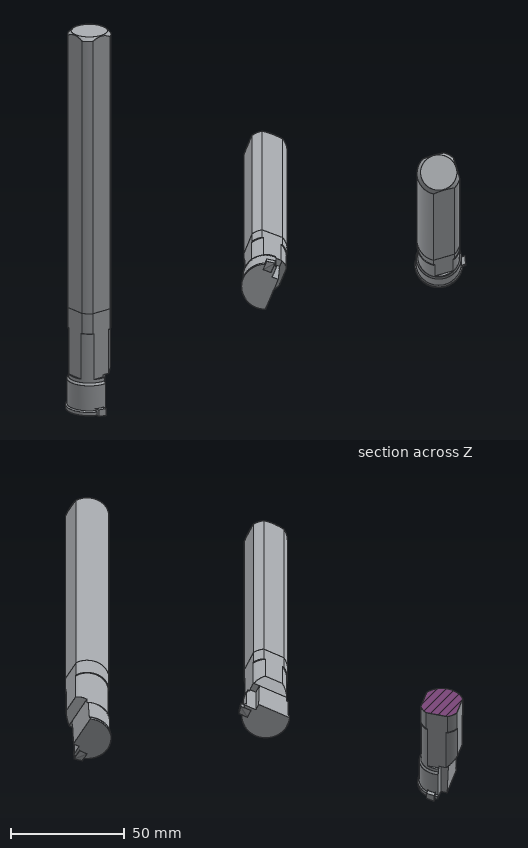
import cadquery as cq


total_height = 177.8
insert_reach = 24.0 / 2

shank_radius = 9.6
flat_distance = 16.5 / 2
shank_bottom = 48.0
top_chamfer = 1.6

collar_bottom = 38.4
neck_radius = 9.2
flats_end = 16.9
cone_top = 15.3
head_top = 14.2
head_radius = 10.0
flange_top = 2.5
flange_cone_height = 0.5
flange_radius = 21.2 / 2
head_bottom = 0.4

relief_start = 21.7
relief_knee = 17.8
relief_knee_y = 4.6
relief_bottom_y = 4.0

chip_pocket_y = 1.0
chip_pocket_x = 5.3
chip_pocket_top = relief_knee

rake_y = -0.2
insert_seat_x = 7.1
insert_height = 3.4
insert_thickness = 3.7
insert_clearance = 0.7

cutter_size = 71.1


def cut_flats(body, low, high):
    """Cut the -Y, +Y and +X clamping flats between two heights."""
    flat_directions = [(0, -1), (0, 1), (1, 0)]
    centre_distance = flat_distance + cutter_size / 2
    for x, y in flat_directions:
        cutter = (
            cq.Workplane("XY", origin=(x * centre_distance, y * centre_distance, low))
            .box(cutter_size, cutter_size, high - low, centered=(True, True, False))
        )
        body = body.cut(cutter)
    return body


def make_shank():
    shank = (
        cq.Workplane("XY", origin=(0, 0, shank_bottom))
        .circle(shank_radius)
        .extrude(total_height - shank_bottom)
        .faces(">Z")
        .chamfer(top_chamfer)
    )
    return cut_flats(shank, shank_bottom, total_height)


def make_insert():
    """Cutting insert with a tapered end face and underside, its rake face towards +Y."""
    rear_y = rake_y - insert_thickness
    blank = (
        cq.Workplane("XY")
        .polyline([
            (insert_seat_x, rear_y),
            (insert_reach - insert_clearance, rear_y),
            (insert_reach, rake_y),
            (insert_seat_x, rake_y),
        ])
        .close()
        .extrude(insert_height)
    )
    inward_relief = (
        cq.Workplane("XZ")
        .polyline([(insert_seat_x, 0), (insert_reach, 0), (insert_seat_x, head_bottom)])
        .close()
        .extrude(cutter_size / 2, both=True)
    )
    rear_relief = (
        cq.Workplane("YZ")
        .polyline([(rear_y, 0), (rake_y, 0), (rear_y, head_bottom)])
        .close()
        .extrude(cutter_size)
    )
    return blank.cut(inward_relief).cut(rear_relief)


def make_relief():
    """Sloped clearance cut across the +Y side of the head."""
    return (
        cq.Workplane("YZ", origin=(-cutter_size / 2, 0, 0))
        .polyline([
            (relief_bottom_y, 0),
            (relief_knee_y, relief_knee),
            (flat_distance, relief_start),
            (cutter_size, relief_start),
            (cutter_size, 0),
        ])
        .close()
        .extrude(cutter_size)
    )


def make_chip_pocket():
    return (
        cq.Workplane("XY", origin=(chip_pocket_x, chip_pocket_y, 0))
        .box(cutter_size, cutter_size, chip_pocket_top, centered=False)
    )


def make_head(seated_insert):
    head = (
        cq.Workplane("XZ")
        .polyline([
            (0, head_bottom),
            (flange_radius, head_bottom),
            (flange_radius, flange_top - flange_cone_height),
            (head_radius, flange_top),
            (head_radius, head_top),
            (neck_radius, cone_top),
            (neck_radius, collar_bottom),
            (shank_radius, collar_bottom),
            (shank_radius, shank_bottom),
            (0, shank_bottom),
        ])
        .close()
        .revolve(360, (0, 0, 0), (0, 1, 0))
    )
    head = cut_flats(head, flats_end, shank_bottom)
    return head.cut(make_relief()).cut(make_chip_pocket()).cut(seated_insert)


shank = make_shank()
insert = make_insert()
head = make_head(insert)

result = cq.Compound.makeCompound([shank.val(), head.val(), insert.val()])